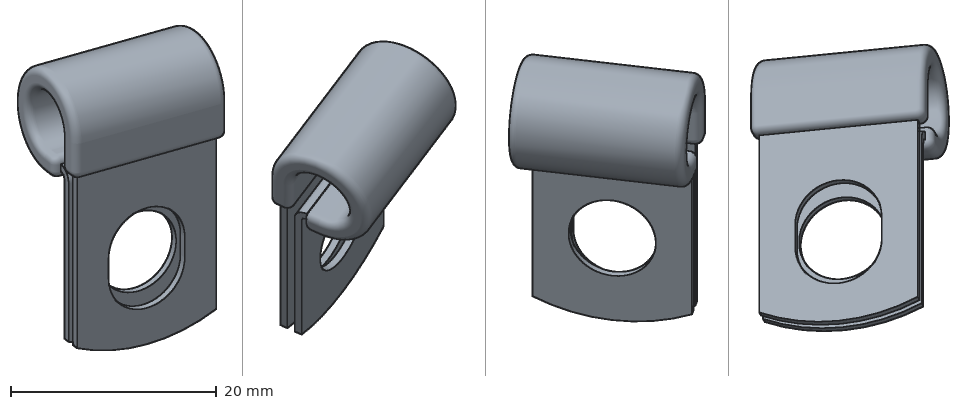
import cadquery as cq
import math

overall_height = 30.1
overall_width = 17.45
loop_diameter = 11.15
bore_radius = 3.2
lower_straight = 0.93
leg_straight = 3.2
hole_radius = 4.33
hole_depth = 15.05
slot_straight = 2.3
tip_rise = 1.72

cushion_radius = loop_diameter / 2
strip_thickness = (cushion_radius - bore_radius) / 3
cushion_thickness = strip_thickness
edge_radius = cushion_thickness

strip_width = overall_width - 2 * cushion_thickness
strip_inner_radius = bore_radius + cushion_thickness
strip_outer_radius = strip_inner_radius + strip_thickness
leg_bottom = cushion_radius - overall_height
cushion_foot_end = lower_straight + edge_radius
cushion_leg_end = -leg_straight - edge_radius

inner_leg_right = strip_inner_radius - strip_thickness
inner_leg_left = inner_leg_right - strip_thickness
gap_middle = (inner_leg_right + strip_inner_radius) / 2
bend_inner_radius = inner_leg_left - cushion_foot_end
bend_outer_radius = bend_inner_radius + strip_thickness


def extrude_centred(profile, width):
    """Extrude a profile equally to both sides of its plane."""
    return profile.close().extrude(width / 2, both=True)


def make_cushion():
    """Rubber sleeve around the loop, rounded on all its outer edges."""
    outer_mid = cushion_radius * math.sqrt(0.5)
    mid_radius = (cushion_radius + bore_radius) / 2
    inner_mid = bore_radius * math.sqrt(0.5)
    profile = (
        cq.Workplane("XZ")
        .moveTo(cushion_radius, cushion_leg_end)
        .lineTo(cushion_radius, 0)
        .threePointArc((-outer_mid, outer_mid), (0, -cushion_radius))
        .lineTo(cushion_foot_end, -cushion_radius)
        .lineTo(cushion_foot_end, -bore_radius)
        .lineTo(0, -bore_radius)
        .threePointArc((-inner_mid, inner_mid), (bore_radius, 0))
        .lineTo(bore_radius, cushion_leg_end)
    )
    sleeve = extrude_centred(profile, overall_width)
    side_edges = sleeve.faces("|Y").edges()
    foot_end = sleeve.faces(cq.selectors.NearestToPointSelector((cushion_foot_end, 0, -mid_radius)))
    leg_end = sleeve.faces(cq.selectors.NearestToPointSelector((mid_radius, 0, cushion_leg_end)))
    end_edges = foot_end.add(leg_end).edges("|Y")
    return side_edges.add(end_edges).fillet(edge_radius)


def make_strip():
    """Metal band: loop, bend into the inner leg, and straight outer leg."""
    outer_mid = strip_outer_radius * math.sqrt(0.5)
    inner_mid = strip_inner_radius * math.sqrt(0.5)
    profile = (
        cq.Workplane("XZ")
        .moveTo(strip_outer_radius, leg_bottom)
        .lineTo(strip_outer_radius, 0)
        .threePointArc((-outer_mid, outer_mid), (0, -strip_outer_radius))
        .lineTo(cushion_foot_end, -strip_outer_radius)
        .radiusArc((inner_leg_left, -strip_outer_radius - bend_inner_radius), bend_inner_radius)
        .lineTo(inner_leg_left, leg_bottom)
        .lineTo(inner_leg_right, leg_bottom)
        .lineTo(inner_leg_right, -strip_inner_radius - bend_outer_radius)
        .radiusArc((cushion_foot_end, -strip_inner_radius), -bend_outer_radius)
        .lineTo(0, -strip_inner_radius)
        .threePointArc((-inner_mid, inner_mid), (strip_inner_radius, 0))
        .lineTo(strip_inner_radius, leg_bottom)
    )
    return extrude_centred(profile, strip_width)


def make_leg_outline():
    """Solid whose YZ outline has the rounded tip, used to trim the strip."""
    half_width = strip_width / 2
    outline = (
        cq.Workplane("YZ")
        .moveTo(-half_width, cushion_radius)
        .lineTo(-half_width, leg_bottom + tip_rise)
        .threePointArc((0, leg_bottom), (half_width, leg_bottom + tip_rise))
        .lineTo(half_width, cushion_radius)
    )
    return extrude_centred(outline, 2 * cushion_radius)


def make_screw_hole():
    """Cylinder along X through the inner leg, ending in the gap between the legs."""
    return (
        cq.Workplane("YZ")
        .center(0, -hole_depth)
        .circle(hole_radius)
        .extrude(gap_middle)
    )


def make_screw_slot():
    """Upright slot along X through the outer leg, as wide as the screw hole."""
    return (
        cq.Workplane("YZ", origin=(gap_middle, 0, -hole_depth))
        .slot2D(slot_straight + 2 * hole_radius, 2 * hole_radius, 90)
        .extrude(cushion_radius - gap_middle)
    )


blank = make_strip().intersect(make_leg_outline())
strip = blank.cut(make_screw_hole()).cut(make_screw_slot())
result = make_cushion().union(strip)